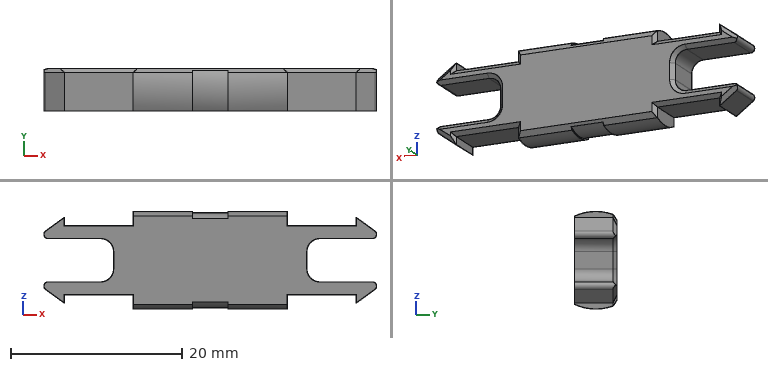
import cadquery as cq
import math

LENGTH = 38.88
THICKNESS = 5.0
HEIGHT = 11.43

BODY_LENGTH = 18.0
BODY_EDGE_HALF_HEIGHT = 5.15

WAIST_LENGTH = 4.1
WAIST_PEAK_HALF_HEIGHT = 5.56
WAIST_EDGE_HALF_HEIGHT = 4.86

ARM_OUTER_Z = 4.04
SLOT_HALF_HEIGHT = 2.52
SLOT_FLOOR_X = 11.3
SLOT_CORNER_RADIUS = 1.5

BARB_BACK_X = 17.05
BARB_ANGLE = math.radians(36.0)
TIP_RADIUS = 0.5

BACK_CHAMFER = 0.5

HALF_LENGTH = LENGTH / 2
HALF_HEIGHT = HEIGHT / 2
MID_Y = THICKNESS / 2
WEDGE_X = HALF_LENGTH - TIP_RADIUS + TIP_RADIUS / math.tan(BARB_ANGLE / 2)


def extrude_along_y(sketch):
    """Extrude a closed XZ outline from Y = 0 to the back face."""
    return sketch.extrude(-THICKNESS)


def crowned_bar(length, peak_half_height, edge_half_height):
    """Bar centred on X = 0 whose top and bottom bulge in an arc across Y."""
    return (
        cq.Workplane("YZ", origin=(-length / 2, 0, 0))
        .moveTo(0, -edge_half_height)
        .threePointArc((MID_Y, -peak_half_height), (THICKNESS, -edge_half_height))
        .lineTo(THICKNESS, edge_half_height)
        .threePointArc((MID_Y, peak_half_height), (0, edge_half_height))
        .close()
        .extrude(length)
    )


def upper_right_arm():
    """Arm ending in a sharp barbed wedge; it starts inside the body."""
    barb_z = SLOT_HALF_HEIGHT + (WEDGE_X - BARB_BACK_X) * math.tan(BARB_ANGLE)
    return extrude_along_y(
        cq.Workplane("XZ")
        .moveTo(0, SLOT_HALF_HEIGHT)
        .lineTo(WEDGE_X, SLOT_HALF_HEIGHT)
        .lineTo(BARB_BACK_X, barb_z)
        .lineTo(BARB_BACK_X, ARM_OUTER_Z)
        .lineTo(0, ARM_OUTER_Z)
        .close()
    )


def right_web():
    """Bridge between the right arms, ending in the round-cornered slot floor."""
    slot_start_x = SLOT_FLOOR_X + SLOT_CORNER_RADIUS
    corner_z = SLOT_HALF_HEIGHT - SLOT_CORNER_RADIUS
    mid_arc = SLOT_CORNER_RADIUS * math.sqrt(0.5)
    arc_x = slot_start_x - mid_arc
    arc_z = corner_z + mid_arc
    return extrude_along_y(
        cq.Workplane("XZ")
        .moveTo(0, -SLOT_HALF_HEIGHT)
        .lineTo(slot_start_x, -SLOT_HALF_HEIGHT)
        .threePointArc((arc_x, -arc_z), (SLOT_FLOOR_X, -corner_z))
        .lineTo(SLOT_FLOOR_X, corner_z)
        .threePointArc((arc_x, arc_z), (slot_start_x, SLOT_HALF_HEIGHT))
        .lineTo(0, SLOT_HALF_HEIGHT)
        .close()
    )


def right_end():
    """Both right arms joined by their web."""
    arm = upper_right_arm()
    return right_web().union(arm).union(arm.mirror("XY"))


def round_tips(part):
    """Round the four wedge edges, which run along Y at the ends of the arms."""
    for end_selector in ("<X", ">X"):
        part = part.edges("|Y").edges(end_selector).fillet(TIP_RADIUS)
    return part


def waist_cutter():
    """Material outside the waist section, over the waist length."""
    blank = cq.Workplane("XY").box(WAIST_LENGTH, 2 * THICKNESS, 2 * HEIGHT)
    blank = blank.translate((0, MID_Y, 0))
    return blank.cut(crowned_bar(WAIST_LENGTH, WAIST_PEAK_HALF_HEIGHT, WAIST_EDGE_HALF_HEIGHT))


body = crowned_bar(BODY_LENGTH, HALF_HEIGHT, BODY_EDGE_HALF_HEIGHT)
end = right_end()
solid_form = body.union(end).union(end.mirror("YZ")).clean()
chamfered = solid_form.faces(">Y").edges().chamfer(BACK_CHAMFER)
rounded = round_tips(chamfered)
result = rounded.cut(waist_cutter())